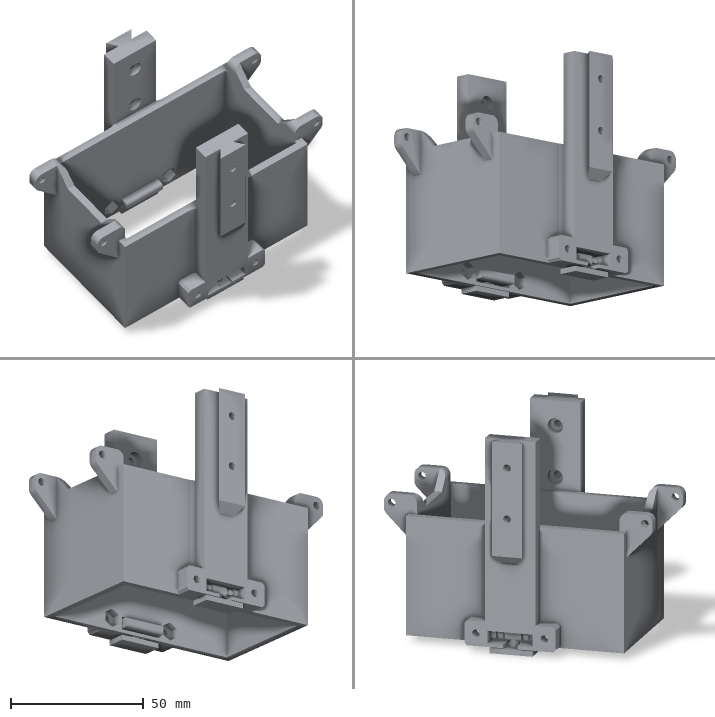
import cadquery as cq


BOX_X = 51.0
BOX_Y = 86.0
BOX_HEIGHT = 46.8
WALL = 3.0
HALF_X = BOX_X / 2
HALF_Y = BOX_Y / 2
INNER_X = HALF_X - WALL
INNER_Y = HALF_Y - WALL

EAR_THICKNESS = 4.0
EAR_OUTER_X = 21.5
EAR_INNER_X = EAR_OUTER_X - EAR_THICKNESS
EAR_REACH = 10.0
EAR_RISE = 7.0
EAR_ROUND = 3.0
EAR_TIP_Y = HALF_Y + EAR_REACH
EAR_TOP = BOX_HEIGHT + EAR_RISE
EAR_FOOT_Z = BOX_HEIGHT - EAR_REACH
EAR_HOLE_D = 3.0
EAR_HOLE_Y = EAR_TIP_Y - 3.0
EAR_HOLE_Z = BOX_HEIGHT + EAR_RISE / 2

ARM_OUTER_X = 32.0
ARM_INNER_X = 26.0
ARM_WIDTH = 20.0
ARM_TOP = BOX_HEIGHT + 35.0
ARM_PAD_WIDTH = 24.0
FOOT_WIDTH = 36.0
FOOT_HEIGHT = 9.8
FOOT_CHAMFER = 1.0

RAIL_OUTER_X = ARM_OUTER_X + 4.0
RAIL_ROOT_WIDTH = 6.0
RAIL_FACE_WIDTH = 12.0
RAIL_ROOT_BOTTOM = 33.0
RAIL_FACE_BOTTOM = RAIL_ROOT_BOTTOM + (RAIL_OUTER_X - ARM_OUTER_X)

SCREW_D = 3.0
HEAD_D = 6.0
HEAD_DEPTH = 3.0
ARM_HOLE_DROPS = (10.0, 30.0)
FOOT_HOLE_Y = 13.5
FOOT_HOLE_Z = FOOT_HEIGHT / 2
NUT_FLATS = 6.3
NUT_DEPTH = 3.5

LATCH_WIDTH = 17.0
POST_X = 26.0
POST_D = 4.0
PLATE_THICKNESS = 2.0
PLATE_OUTER_X = POST_X + 5.0
PLATE_INNER_X = POST_X - 3.2
BOLT_TOP = 6.3
BOLT_HEIGHT = 3.7
BOLT_BOTTOM = BOLT_TOP - BOLT_HEIGHT
BOLT_OUTER_X = POST_X + POST_D / 2
BOLT_TIP_X = 19.7
BOLT_OUTER_ROUND = 1.0
BOLT_TIP_ROUND = 1.1
SPRING_SEAT_WIDTH = 3.7
SPRING_SEAT_DEPTH = 2.0
SPRING_Y = 5.0
PEG_D = 2.0
LEFT_LATCH_DROP = 0.7
RIGHT_LATCH_SHIFT = 0.3

SLOT_SIDE_CLEARANCE = 0.4
SLOT_WIDTH = LATCH_WIDTH + 2 * SLOT_SIDE_CLEARANCE
SLOT_TOP = BOLT_TOP
SLOT_FLOOR = 1.3
NOTCH_WIDTH = 5.7
NOTCH_INNER_X = PLATE_INNER_X + 0.5


def block(x_range, width, z_range):
    """Block centred on Y = 0 between two X and two Z limits."""
    x0, x1 = x_range
    z0, z1 = z_range
    return cq.Workplane("XY", origin=((x0 + x1) / 2, 0, z0)).rect(x1 - x0, width).extrude(z1 - z0)


def x_plane(x, y, z):
    """Sketch plane facing +X, with Y across and Z up."""
    return cq.Workplane("YZ", origin=(x, y, z))


def open_box():
    outside = block((-HALF_X, HALF_X), BOX_Y, (0, BOX_HEIGHT))
    inside = block((-INNER_X, INNER_X), 2 * INNER_Y, (0, BOX_HEIGHT))
    return outside.cut(inside)


def ear():
    """Ear at the +X end of the +Y wall, with the sloped rise of the wall that braces it."""
    plate = (
        x_plane(EAR_INNER_X, 0, 0)
        .polyline([
            (INNER_Y, EAR_FOOT_Z),
            (HALF_Y, EAR_FOOT_Z),
            (EAR_TIP_Y, BOX_HEIGHT),
            (EAR_TIP_Y, EAR_TOP),
            (INNER_Y, EAR_TOP),
        ])
        .close()
        .extrude(EAR_THICKNESS)
        .edges("|X and >Y")
        .fillet(EAR_ROUND)
    )
    brace = (
        cq.Workplane("XZ", origin=(0, HALF_Y, 0))
        .polyline([
            (EAR_INNER_X - EAR_RISE, BOX_HEIGHT),
            (EAR_INNER_X, EAR_TOP),
            (EAR_OUTER_X, EAR_TOP),
            (EAR_OUTER_X, BOX_HEIGHT),
        ])
        .close()
        .extrude(WALL)
    )
    corner = (
        x_plane(0, 0, 0)
        .moveTo(INNER_Y, EAR_TOP - EAR_ROUND)
        .radiusArc((INNER_Y + EAR_ROUND, EAR_TOP), EAR_ROUND)
        .lineTo(INNER_Y, EAR_TOP)
        .close()
        .extrude(HALF_X)
    )
    hole = x_plane(0, EAR_HOLE_Y, EAR_HOLE_Z).circle(EAR_HOLE_D / 2).extrude(HALF_X)
    return plate.union(brace).cut(corner).cut(hole)


def rail():
    """Dovetail along the +X arm, its lower end cut at 45 degrees."""
    bar = (
        cq.Workplane("XY", origin=(0, 0, RAIL_ROOT_BOTTOM))
        .polyline([
            (ARM_OUTER_X, -RAIL_ROOT_WIDTH / 2),
            (RAIL_OUTER_X, -RAIL_FACE_WIDTH / 2),
            (RAIL_OUTER_X, RAIL_FACE_WIDTH / 2),
            (ARM_OUTER_X, RAIL_ROOT_WIDTH / 2),
        ])
        .close()
        .extrude(ARM_TOP - RAIL_ROOT_BOTTOM)
    )
    end_cut = (
        cq.Workplane("XZ")
        .polyline([
            (ARM_OUTER_X, RAIL_ROOT_BOTTOM),
            (RAIL_OUTER_X, RAIL_FACE_BOTTOM),
            (RAIL_OUTER_X, RAIL_ROOT_BOTTOM),
        ])
        .close()
        .extrude(RAIL_FACE_WIDTH / 2, both=True)
    )
    return bar.cut(end_cut)


def arm():
    """The +X arm: upright, tapered pad against the box wall, foot and rail."""
    upright = block((ARM_INNER_X, ARM_OUTER_X), ARM_WIDTH, (0, ARM_TOP))
    pad = (
        cq.Workplane("XY")
        .polyline([
            (HALF_X, -ARM_PAD_WIDTH / 2),
            (ARM_INNER_X, -ARM_WIDTH / 2),
            (ARM_INNER_X, ARM_WIDTH / 2),
            (HALF_X, ARM_PAD_WIDTH / 2),
        ])
        .close()
        .extrude(BOX_HEIGHT)
    )
    foot = block((HALF_X, ARM_OUTER_X), FOOT_WIDTH, (0, FOOT_HEIGHT)).edges("|X").chamfer(FOOT_CHAMFER)
    return upright.union(pad).union(foot).union(rail())


def screw_holes():
    """Holes of the +X arm: head-recessed in the upright, nut-recessed in the foot."""
    arm_points = [(0, ARM_TOP - drop) for drop in ARM_HOLE_DROPS]
    foot_points = [(side * FOOT_HOLE_Y, FOOT_HOLE_Z) for side in (-1, 1)]
    shanks = (
        x_plane(INNER_X, 0, 0)
        .pushPoints(arm_points + foot_points)
        .circle(SCREW_D / 2)
        .extrude(RAIL_OUTER_X - INNER_X)
    )
    heads = x_plane(ARM_INNER_X, 0, 0).pushPoints(arm_points).circle(HEAD_D / 2).extrude(HEAD_DEPTH)
    cutters = shanks.union(heads)
    for y, z in foot_points:
        nut = x_plane(INNER_X, y, z).polygon(6, NUT_FLATS, circumscribed=True).extrude(NUT_DEPTH)
        cutters = cutters.union(nut)
    return cutters


def latch_slot():
    """Slot through the +X foot and box wall, with a floor notch for the latch post."""
    slot = block((INNER_X, ARM_OUTER_X), SLOT_WIDTH, (SLOT_FLOOR, SLOT_TOP))
    notch = block((NOTCH_INNER_X, ARM_OUTER_X), NOTCH_WIDTH, (0, SLOT_FLOOR))
    return slot.union(notch)


def make_housing():
    body = open_box()
    corner_ear = ear()
    side_arm = arm()
    for part in (
        corner_ear,
        corner_ear.mirror("YZ"),
        corner_ear.mirror("XZ"),
        corner_ear.mirror("YZ").mirror("XZ"),
        side_arm,
        side_arm.mirror("YZ"),
    ):
        body = body.union(part)
    cutters = screw_holes().union(latch_slot())
    return body.cut(cutters).cut(cutters.mirror("YZ"))


def make_latch():
    """The +X latch: rounded bolt on a post above a grip plate, with two spring seats."""
    plate = block((PLATE_INNER_X, PLATE_OUTER_X), LATCH_WIDTH, (-PLATE_THICKNESS, 0))
    bolt = block((BOLT_TIP_X, BOLT_OUTER_X), LATCH_WIDTH, (BOLT_BOTTOM, BOLT_TOP))
    bolt = bolt.edges("|Y and >X").fillet(BOLT_OUTER_ROUND)
    bolt = bolt.edges("|Y and <X").fillet(BOLT_TIP_ROUND)
    seat_floor_x = BOLT_OUTER_X - SPRING_SEAT_DEPTH
    peg_z = (BOLT_BOTTOM + BOLT_TOP) / 2
    for y in (-SPRING_Y, SPRING_Y):
        seat = block((seat_floor_x, BOLT_OUTER_X), SPRING_SEAT_WIDTH, (BOLT_BOTTOM, BOLT_TOP))
        bolt = bolt.cut(seat.translate((0, y, 0)))
        bolt = bolt.union(x_plane(seat_floor_x, y, peg_z).circle(PEG_D / 2).extrude(SPRING_SEAT_DEPTH))
    post_top = BOLT_BOTTOM + BOLT_OUTER_ROUND
    post = cq.Workplane("XY", origin=(POST_X, 0, 0)).circle(POST_D / 2).extrude(post_top)
    return bolt.union(post).union(plate)


housing = make_housing()
latch = make_latch()
right_latch = latch.translate((RIGHT_LATCH_SHIFT, 0, 0))
left_latch = latch.mirror("YZ").translate((0, 0, -LEFT_LATCH_DROP))

result = cq.Compound.makeCompound([
    housing.solids().val(),
    right_latch.solids().val(),
    left_latch.solids().val(),
])